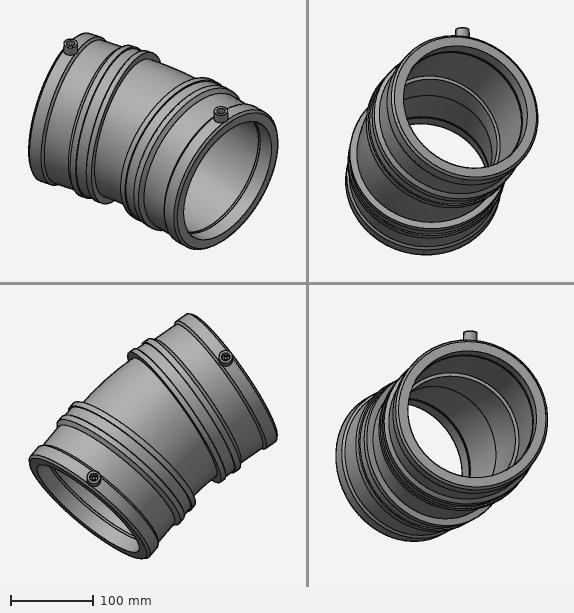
import cadquery as cq
import math

bend_angle = 15.0
bend_radius = 260.5
socket_length = 88.0

tube_diameter = 176.0
tube_bore = 151.2
mouth_bore = 160.0
groove_diameter = 160.5
body_diameter = 183.5
collar_diameter = 189.2
ring_diameter = 193.0

groove_start = 18.5
groove_end = 21.5
pipe_stop_depth = 97.5
collar_chamfer = 3.0
collar_length = 21.5
cone_start = 54.2
first_ring_start = 59.0
first_ring_end = 66.5
second_ring_start = 80.9

terminal_offset = 10.8
terminal_top = 106.0
terminal_base_diameter = 17.5
terminal_top_diameter = 16.5
terminal_hole_diameter = 10.0
terminal_hole_depth = 10.5
contact_diameter = 4.0
contact_recess = 5.3
terminal_base = (mouth_bore + body_diameter) / 4

angle = math.radians(bend_angle)
end_x = socket_length + bend_radius * math.sin(angle) + socket_length * math.cos(angle)
end_y = -bend_radius * (1 - math.cos(angle)) - socket_length * math.sin(angle)


def place_at_second_mouth(shape):
    """Turn a shape built at the first mouth to face out of the second mouth."""
    turned = shape.rotate((0, 0, 0), (0, 0, 1), 180 - bend_angle)
    return turned.translate((end_x, end_y, 0))


def revolve_about_x(points):
    """Revolve an (x, diameter) outline, drawn below and closed up to the X axis."""
    outline = [(x, -diameter / 2) for x, diameter in points]
    axis_points = [(points[-1][0], 0), (points[0][0], 0)]
    section = cq.Workplane("XZ").polyline(outline + axis_points).close()
    return section.revolve(360, (0, 0, 0), (1, 0, 0))


def socket_body():
    """Solid socket with a chamfered mouth collar and two rings."""
    return revolve_about_x([
        (0, collar_diameter - 2 * collar_chamfer),
        (collar_chamfer, collar_diameter),
        (collar_length - collar_chamfer, collar_diameter),
        (collar_length, body_diameter),
        (cone_start, body_diameter),
        (first_ring_start, ring_diameter),
        (first_ring_end, ring_diameter),
        (first_ring_end, collar_diameter),
        (second_ring_start, collar_diameter),
        (second_ring_start, ring_diameter),
        (socket_length, ring_diameter),
    ])


def socket_bore():
    """Bore for the inserted pipe, with a shallow groove, up to the pipe stop."""
    return revolve_about_x([
        (0, mouth_bore),
        (groove_start, mouth_bore),
        (groove_start, groove_diameter),
        (groove_end, groove_diameter),
        (groove_end, mouth_bore),
        (pipe_stop_depth, mouth_bore),
    ])


def bend(diameter):
    """Solid round bar that follows the bend."""
    return (
        cq.Workplane("YZ", origin=(socket_length, 0, 0))
        .circle(diameter / 2)
        .revolve(bend_angle, (-bend_radius, 0, 0), (-bend_radius, -1, 0))
    )


def terminal():
    """Tapered terminal with a recessed contact pin in the middle of its blind hole."""
    shroud = (
        cq.Workplane("XY", origin=(terminal_offset, 0, terminal_base))
        .circle(terminal_base_diameter / 2)
        .workplane(offset=terminal_top - terminal_base)
        .circle(terminal_top_diameter / 2)
        .loft()
    )
    hole_floor = terminal_top - terminal_hole_depth
    hole = (
        cq.Workplane("XY", origin=(terminal_offset, 0, hole_floor))
        .circle(terminal_hole_diameter / 2)
        .extrude(terminal_hole_depth)
    )
    contact = (
        cq.Workplane("XY", origin=(terminal_offset, 0, hole_floor))
        .circle(contact_diameter / 2)
        .extrude(terminal_hole_depth - contact_recess)
    )
    return shroud.cut(hole).union(contact)


outside = bend(tube_diameter).union(socket_body()).union(place_at_second_mouth(socket_body()))
hollow = outside.cut(bend(tube_bore)).cut(socket_bore()).cut(place_at_second_mouth(socket_bore()))
result = hollow.union(terminal()).union(place_at_second_mouth(terminal()))